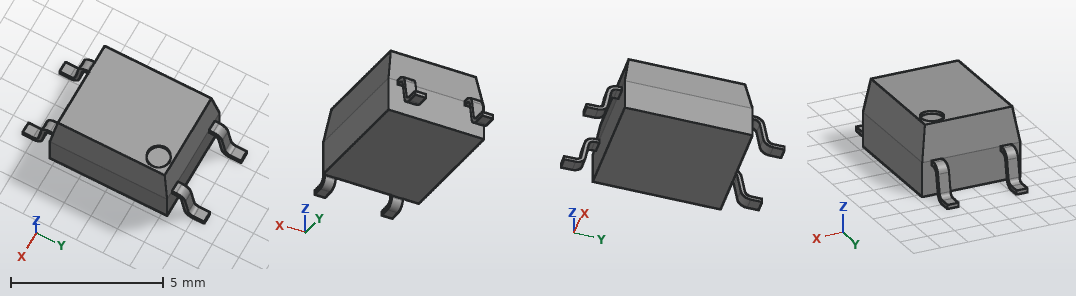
import cadquery as cq
import math

overall_length = 6.81

body_width = 3.6
body_length = 4.4
parting_height = 1.25
body_height = 2 * parting_height
top_inset = 0.2

dimple_diameter = 0.8
dimple_depth = 0.1
dimple_x = 1.095
dimple_y = 1.5

lead_pitch = 2.53
lead_width = 0.4
lead_thickness = 0.15
lead_overhang = (overall_length - body_length) / 2
toe_length = 0.395
bend_inner_radius = 0.2
bend_outer_radius = bend_inner_radius + lead_thickness
shank_lean = 10.0
front_lead_skew = 1.0
root_allowance = 0.07


def make_housing():
    """Straight lower half, tapered upper half, and a round dimple in the top face."""
    lower = cq.Workplane("XY").rect(body_width, body_length).extrude(parting_height)
    upper = (
        cq.Workplane("XY")
        .workplane(offset=parting_height)
        .rect(body_width, body_length)
        .workplane(offset=body_height - parting_height)
        .rect(body_width - 2 * top_inset, body_length - 2 * top_inset)
        .loft(ruled=True)
    )
    dimple = (
        cq.Workplane("XY")
        .workplane(offset=body_height - dimple_depth)
        .center(dimple_x, dimple_y)
        .circle(dimple_diameter / 2)
        .extrude(dimple_depth)
    )
    return lower.union(upper).cut(dimple)


def point_on_bend(center, radius, degrees):
    angle = math.radians(degrees)
    return (center[0] + radius * math.cos(angle), center[1] + radius * math.sin(angle))


def make_lead_blank():
    """Lead pointing along +Y, with the housing wall at Y = 0 and the sole at Z = 0."""
    lean = math.radians(shank_lean)
    bend_sum = bend_inner_radius + bend_outer_radius

    center_drop = parting_height - 2 * bend_outer_radius
    shank_length = (center_drop + bend_sum * math.sin(lean)) / math.cos(lean)
    center_run = bend_sum * math.cos(lean) + shank_length * math.sin(lean)

    toe_start = lead_overhang - toe_length
    lower_center = (toe_start, bend_outer_radius)
    upper_center = (toe_start - center_run, parting_height - bend_outer_radius)

    upper_end = shank_lean
    upper_middle = (90 + upper_end) / 2
    lower_start = 180 + shank_lean
    lower_middle = (lower_start + 270) / 2

    profile = (
        cq.Workplane("YZ")
        .moveTo(-root_allowance, parting_height)
        .lineTo(upper_center[0], parting_height)
        .threePointArc(
            point_on_bend(upper_center, bend_outer_radius, upper_middle),
            point_on_bend(upper_center, bend_outer_radius, upper_end),
        )
        .lineTo(*point_on_bend(lower_center, bend_inner_radius, lower_start))
        .threePointArc(
            point_on_bend(lower_center, bend_inner_radius, lower_middle),
            (toe_start, lead_thickness),
        )
        .lineTo(lead_overhang, lead_thickness)
        .lineTo(lead_overhang, 0)
        .lineTo(toe_start, 0)
        .threePointArc(
            point_on_bend(lower_center, bend_outer_radius, lower_middle),
            point_on_bend(lower_center, bend_outer_radius, lower_start),
        )
        .lineTo(*point_on_bend(upper_center, bend_inner_radius, upper_end))
        .threePointArc(
            point_on_bend(upper_center, bend_inner_radius, upper_middle),
            (upper_center[0], parting_height - lead_thickness),
        )
        .lineTo(-root_allowance, parting_height - lead_thickness)
        .close()
    )
    return profile.extrude(lead_width / 2, both=True)


def place_lead(x, middle_y, turn, housing):
    """Turn a lead about the middle of its overhang, place it and trim its root at the wall."""
    return (
        make_lead_blank()
        .translate((0, -lead_overhang / 2, 0))
        .rotate((0, 0, 0), (0, 0, 1), turn)
        .translate((x, middle_y, 0))
        .cut(housing)
        .solids()
        .val()
    )


housing = make_housing()

rear_middle_y = (body_length + lead_overhang) / 2
corner_reach = lead_width / 2 * math.sin(math.radians(front_lead_skew))
front_middle_y = corner_reach - rear_middle_y

leads = []
for lead_x in (-lead_pitch / 2, lead_pitch / 2):
    leads.append(place_lead(lead_x, rear_middle_y, 0, housing))
    leads.append(place_lead(lead_x, front_middle_y, 180 - front_lead_skew, housing))

result = cq.Compound.makeCompound([housing.solids().val(), *leads])